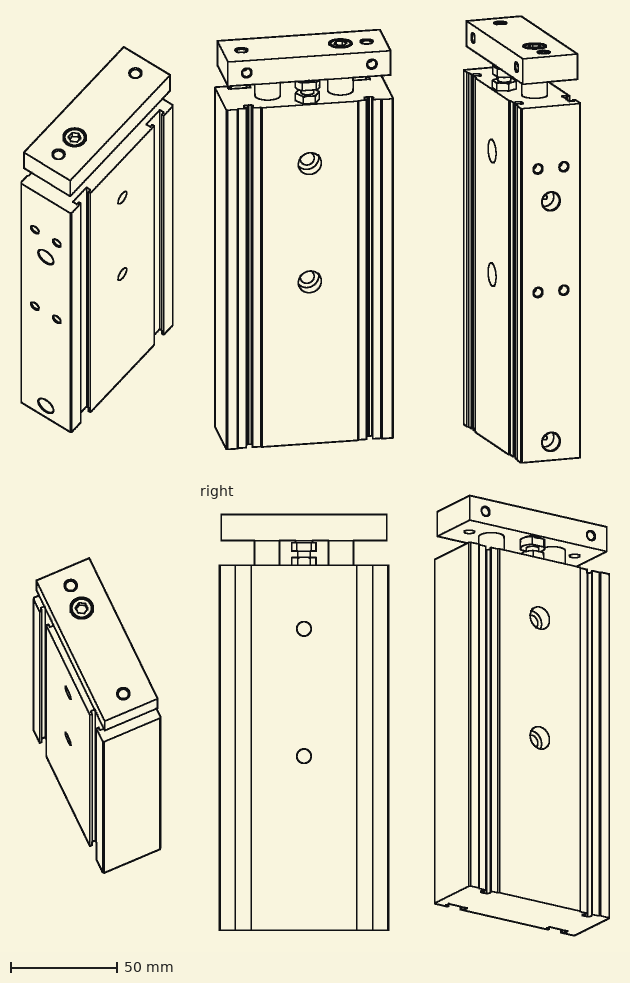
import cadquery as cq
import math


HOUSING_X = 30.0
HOUSING_Y = 80.0
HOUSING_Z = 172.0
CORNER_CHAMFER = 0.5

SLOT_Y = 28.8
RECESS_WIDTH = 11.8
RECESS_DEPTH = 0.5
RECESS_EDGE = 0.5
MOUTH_WIDTH = 3.0
CHANNEL_DIAMETER = 4.5
CHANNEL_CENTRE_DEPTH = 3.0
CHANNEL_FLOOR_DEPTH = 4.5
FLOOR_GROOVE_WIDTH = 0.8
FLOOR_GROOVE_DEPTH = 0.2

T_SLOT_Y = 28.6
T_SLOT_MOUTH_WIDTH = 7.5
T_SLOT_INNER_WIDTH = 10.5
T_SLOT_LIP = 1.2
T_SLOT_DEPTH = 3.5

MOUNT_LEVELS = [HOUSING_Z - 30.0, HOUSING_Z - 90.0]
MOUNT_DIAMETER = 6.7
MOUNT_BORE_DIAMETER = 11.0
MOUNT_BORE_DEPTH = 6.7
SIDE_HOLE_SPACING = 13.0

TAP_DIAMETER = 4.1
TAP_RIM_DIAMETER = 4.9
TAP_DEPTH = 8.0
DRILL_POINT_ANGLE = 118

PORT_LEVELS = [9.0, HOUSING_Z - 46.3]
PORT_DIAMETER = 8.6
PORT_RIM_DIAMETER = 9.2
PORT_DEPTH = 8.0
PORT_PASSAGE_DIAMETER = 2.0
PORT_PASSAGE_DEPTH = 4.0

PLATE_X = 27.5
PLATE_Y = 78.0
PLATE_Z = 12.3
PLATE_TOP = 196.0
PLATE_BOTTOM = PLATE_TOP - PLATE_Z
PLATE_HOLE_Y = 30.0
PLATE_HOLE_DIAMETER = 4.9
PLATE_HOLE_RIM_DIAMETER = 6.0

ROD_DIAMETER = 12.0
ROD_Y = 17.5

SCREW_BORE_DIAMETER = 11.0
SCREW_HEAD_DIAMETER = 10.0
SCREW_HEAD_HEIGHT = 6.0
SCREW_HEAD_CHAMFER = 0.4
SOCKET_ACROSS_FLATS = 5.0
SOCKET_DEPTH = 3.0

STOP_X = -8.8
NUT_ACROSS_FLATS = 10.0
NUT_CORNER_DIAMETER = NUT_ACROSS_FLATS / math.cos(math.pi / 6)
NUT_HEIGHT = 3.7
NUT_CHAMFER = 0.4
STUD_DIAMETER = 6.0
BUMPER_DIAMETER = 8.0
BUMPER_HEIGHT = 1.0
HEAD_HEIGHT = 4.0
HEAD_ACROSS_FLATS = 9.5


def cylinder_z(x, y, bottom, diameter, height):
    """Upright cylinder standing on the level `bottom`."""
    return cq.Workplane("XY", origin=(x, y, bottom)).circle(diameter / 2).extrude(height)


def drilled_hole(start, direction, diameter, rim_diameter, depth):
    """Cutter for a blind hole with a 45-degree rim chamfer and a conical bottom."""
    radius = diameter / 2
    rim_radius = rim_diameter / 2
    point_length = radius / math.tan(math.radians(DRILL_POINT_ANGLE / 2))
    frame = cq.Plane(origin=start, xDir=(0, 0, 1), normal=direction)
    profile_frame = frame.rotated((90, 0, 0))
    return (
        cq.Workplane(profile_frame)
        .polyline([
            (0, 0),
            (rim_radius, 0),
            (radius, rim_radius - radius),
            (radius, depth),
            (0, depth + point_length),
        ])
        .close()
        .revolve(360, (0, 0, 0), (0, 1, 0))
    )


def slot_strip(y, width, depth):
    """Rectangular strip that reaches from the -X face to `depth`, over the height of the housing."""
    return (
        cq.Workplane("XY", origin=((depth - HOUSING_X) / 2, y, 0))
        .rect(depth, width)
        .extrude(HOUSING_Z)
    )


def sensor_slot(y):
    """Cutter for one sensor slot over the whole height of the housing."""
    face_x = -HOUSING_X / 2
    floor_x = face_x + RECESS_DEPTH
    channel_x = face_x + CHANNEL_CENTRE_DEPTH
    half_top = RECESS_WIDTH / 2
    half_floor = half_top - RECESS_EDGE
    recess = (
        cq.Workplane("XY")
        .polyline([
            (face_x, y - half_top),
            (floor_x, y - half_floor),
            (floor_x, y + half_floor),
            (face_x, y + half_top),
        ])
        .close()
        .extrude(HOUSING_Z)
    )
    mouth = slot_strip(y, MOUTH_WIDTH, CHANNEL_CENTRE_DEPTH)
    channel = cylinder_z(channel_x, y, 0, CHANNEL_DIAMETER, HOUSING_Z)
    channel = channel.intersect(slot_strip(y, CHANNEL_DIAMETER, CHANNEL_FLOOR_DEPTH))
    groove = slot_strip(y, FLOOR_GROOVE_WIDTH, CHANNEL_FLOOR_DEPTH + FLOOR_GROOVE_DEPTH)
    return recess.union(mouth).union(channel).union(groove)


def t_slot(y):
    """Cutter for one T-slot over the whole height of the housing."""
    face_x = HOUSING_X / 2
    inner_depth = T_SLOT_DEPTH - T_SLOT_LIP
    mouth = (
        cq.Workplane("XY", origin=(face_x - T_SLOT_DEPTH / 2, y, 0))
        .rect(T_SLOT_DEPTH, T_SLOT_MOUTH_WIDTH)
        .extrude(HOUSING_Z)
    )
    inner = (
        cq.Workplane("XY", origin=(face_x - T_SLOT_LIP - inner_depth / 2, y, 0))
        .rect(inner_depth, T_SLOT_INNER_WIDTH)
        .extrude(HOUSING_Z)
    )
    return mouth.union(inner)


def mounting_hole(z):
    """Cutter for a through hole along X with a counterbore in the -X face."""
    start = cq.Workplane("YZ", origin=(-HOUSING_X / 2, 0, z))
    bore = start.circle(MOUNT_BORE_DIAMETER / 2).extrude(MOUNT_BORE_DEPTH)
    return start.circle(MOUNT_DIAMETER / 2).extrude(HOUSING_X).union(bore)


def air_port(z):
    """Cutter for a flat-bottomed port in the -Y face with a chamfered rim and a small passage."""
    radius = PORT_DIAMETER / 2
    rim_radius = PORT_RIM_DIAMETER / 2
    passage_radius = PORT_PASSAGE_DIAMETER / 2
    passage_end = PORT_DEPTH + PORT_PASSAGE_DEPTH
    return (
        cq.Workplane("XY", origin=(0, -HOUSING_Y / 2, z))
        .polyline([
            (0, 0),
            (rim_radius, 0),
            (radius, rim_radius - radius),
            (radius, PORT_DEPTH),
            (passage_radius, PORT_DEPTH),
            (passage_radius, passage_end),
            (0, passage_end),
        ])
        .close()
        .revolve(360, (0, 0, 0), (0, 1, 0))
    )


def stroke_stop():
    """Lock nut, stud, bolt head with two flats, and bumper that meets the plate."""
    gap = PLATE_BOTTOM - HOUSING_Z
    bumper_bottom = PLATE_BOTTOM - BUMPER_HEIGHT
    head_bottom = bumper_bottom - HEAD_HEIGHT

    nut = (
        cq.Workplane("XY", origin=(STOP_X, 0, HOUSING_Z))
        .transformed(rotate=(0, 0, 90))
        .polygon(6, NUT_CORNER_DIAMETER)
        .extrude(NUT_HEIGHT)
    )
    nut_envelope = cylinder_z(STOP_X, 0, HOUSING_Z, NUT_CORNER_DIAMETER, NUT_HEIGHT)
    nut = nut.intersect(nut_envelope.faces(">Z").chamfer(NUT_CHAMFER))

    head = cylinder_z(STOP_X, 0, head_bottom, NUT_CORNER_DIAMETER, HEAD_HEIGHT)
    flats = (
        cq.Workplane("XY", origin=(STOP_X, 0, head_bottom))
        .rect(HEAD_ACROSS_FLATS, NUT_CORNER_DIAMETER)
        .extrude(HEAD_HEIGHT)
    )
    head = head.intersect(flats)

    stud = cylinder_z(STOP_X, 0, HOUSING_Z, STUD_DIAMETER, gap)
    bumper = cylinder_z(STOP_X, 0, bumper_bottom, BUMPER_DIAMETER, BUMPER_HEIGHT)
    return nut.union(stud).union(head).union(bumper)


def make_housing():
    housing = (
        cq.Workplane("XY")
        .rect(HOUSING_X, HOUSING_Y)
        .extrude(HOUSING_Z)
        .edges("|Z")
        .chamfer(CORNER_CHAMFER)
    )
    for side in (-1, 1):
        housing = housing.cut(sensor_slot(side * SLOT_Y))
        housing = housing.cut(t_slot(side * T_SLOT_Y))
    for z in MOUNT_LEVELS:
        housing = housing.cut(mounting_hole(z))
        for side in (-1, 1):
            start = (side * SIDE_HOLE_SPACING / 2, -HOUSING_Y / 2, z)
            housing = housing.cut(drilled_hole(start, (0, 1, 0), TAP_DIAMETER, TAP_RIM_DIAMETER, TAP_DEPTH))
    for z in PORT_LEVELS:
        housing = housing.cut(air_port(z))
    return housing.union(stroke_stop())


def plate_through_hole(y):
    """Cutter for a hole down through the plate with its top rim chamfered."""
    radius = PLATE_HOLE_DIAMETER / 2
    rim_radius = PLATE_HOLE_RIM_DIAMETER / 2
    return (
        cq.Workplane("XZ", origin=(0, y, PLATE_BOTTOM))
        .polyline([
            (0, 0),
            (radius, 0),
            (radius, PLATE_Z - (rim_radius - radius)),
            (rim_radius, PLATE_Z),
            (0, PLATE_Z),
        ])
        .close()
        .revolve(360, (0, 0, 0), (0, 1, 0))
    )


def sink_screw(plate):
    """Add the counterbore to the plate, with the chamfered screw head and its hexagon socket."""
    seat = PLATE_TOP - SCREW_HEAD_HEIGHT
    bore = cylinder_z(0, -ROD_Y, seat, SCREW_BORE_DIAMETER, SCREW_HEAD_HEIGHT)
    head = cylinder_z(0, -ROD_Y, seat, SCREW_HEAD_DIAMETER, SCREW_HEAD_HEIGHT)
    head = head.faces(">Z").chamfer(SCREW_HEAD_CHAMFER)
    socket = (
        cq.Workplane("XY", origin=(0, -ROD_Y, PLATE_TOP))
        .transformed(rotate=(0, 0, 90))
        .polygon(6, SOCKET_ACROSS_FLATS / math.cos(math.pi / 6))
        .extrude(-SOCKET_DEPTH)
    )
    return plate.cut(bore).union(head.cut(socket))


def make_rod_plate():
    plate = (
        cq.Workplane("XY", origin=(0, 0, PLATE_BOTTOM))
        .rect(PLATE_X, PLATE_Y)
        .extrude(PLATE_Z)
    )
    for side in (-1, 1):
        rod = cylinder_z(0, side * ROD_Y, HOUSING_Z, ROD_DIAMETER, PLATE_BOTTOM - HOUSING_Z)
        plate = plate.union(rod)
        plate = plate.cut(plate_through_hole(side * PLATE_HOLE_Y))
        start = (-PLATE_X / 2, side * PLATE_HOLE_Y, PLATE_BOTTOM + PLATE_Z / 2)
        plate = plate.cut(drilled_hole(start, (1, 0, 0), TAP_DIAMETER, TAP_RIM_DIAMETER, TAP_DEPTH))
    return sink_screw(plate)


housing = make_housing()
rod_plate = make_rod_plate()

result = cq.Compound.makeCompound([housing.val(), rod_plate.val()])